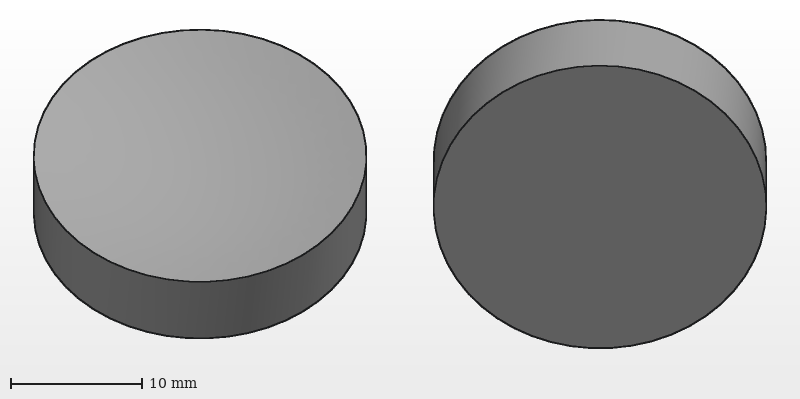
import cadquery as cq

diameter = 25.4
edge_thickness = 6.63
dish_depth = 1.9

radius = diameter / 2
center_thickness = edge_thickness - dish_depth
sphere_radius = (radius**2 + dish_depth**2) / (2 * dish_depth)

disc = cq.Workplane("XY").circle(radius).extrude(edge_thickness)

sphere_center = (0, 0, center_thickness + sphere_radius)
dish = cq.Workplane("XY").sphere(sphere_radius).translate(sphere_center)

result = disc.cut(dish)